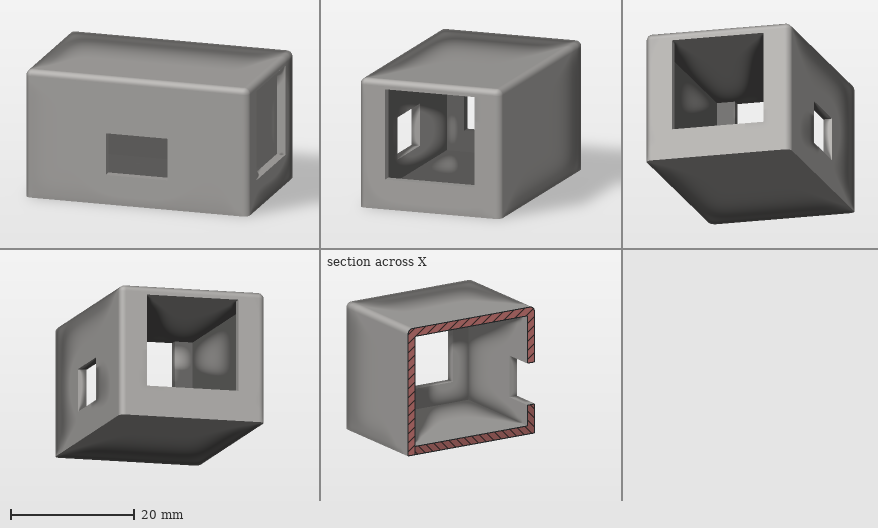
import cadquery as cq

length = 38.0
width = 24.5
height = 21.5
wall = 1.5
edge_radius = 1.0

cavity_length = length - 2 * wall
cavity_width = width - 2 * wall
ceiling = height - wall

end_opening_width = 15.5
side_opening_width = 10.5
side_opening_top = 12.0
sill_height = 4.98

plate_thickness = wall
tab_width = 4.03
tab_offset = 11.35

end_wall_x = (length - wall) / 2
side_wall_y = (width - wall) / 2


def block(size_x, size_y, size_z, x=0.0, y=0.0):
    """Block standing on the underside plane, centred at x, y."""
    return cq.Workplane("XY").center(x, y).rect(size_x, size_y).extrude(size_z)


def end_blocks(block_height):
    """Two blocks, one filling the opening width in each end wall."""
    left = block(wall, end_opening_width, block_height, x=-end_wall_x)
    right = block(wall, end_opening_width, block_height, x=end_wall_x)
    return left, right


def side_block(block_height):
    """Block filling the opening width in the -Y side wall."""
    return block(side_opening_width, wall, block_height, y=-side_wall_y)


def tab_blocks():
    """Four low tabs, two passing through each side wall."""
    return [
        block(tab_width, wall, plate_thickness, x=x_sign * tab_offset, y=y_sign * side_wall_y)
        for x_sign in (-1, 1)
        for y_sign in (-1, 1)
    ]


def make_cover():
    """Rounded box, open below, with end and side openings and tab notches."""
    cover = block(length, width, height)
    cover = cover.edges("|Z or >Z").fillet(edge_radius)
    cover = cover.cut(block(cavity_length, cavity_width, ceiling))
    openings = [*end_blocks(ceiling), side_block(side_opening_top)]
    for cutter in openings + tab_blocks():
        cover = cover.cut(cutter)
    return cover


def make_base():
    """Plate filling the cavity floor, with sills in the openings and tabs in the notches."""
    base = block(cavity_length, cavity_width, plate_thickness)
    sills = [*end_blocks(sill_height), side_block(sill_height)]
    for addition in sills + tab_blocks():
        base = base.union(addition)
    return base


cover = make_cover()
base = make_base()

result = cq.Compound.makeCompound([cover.solids().val(), base.solids().val()])